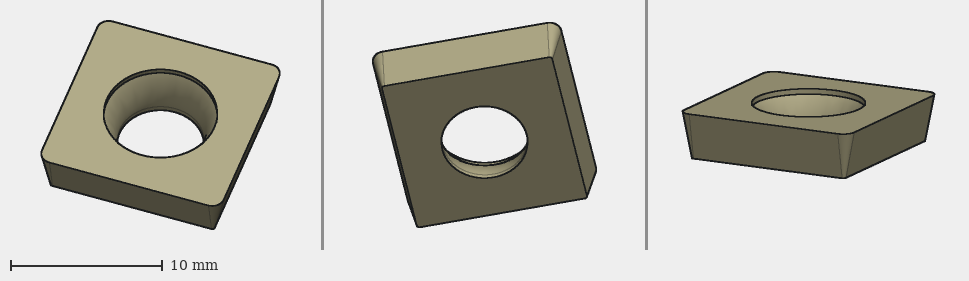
import cadquery as cq
import math

side = 12.7
thickness = 3.18
corner_radius = 0.8
relief_angle = 11.0

mouth_radius = 3.75
bore_radius = 2.85
land_depth = 0.37
seat_arc_radius = 3.62


def insert_body():
    """Rounded square tapering downwards from its top face."""
    square = cq.Sketch().rect(side, side).vertices().fillet(corner_radius)
    return (
        cq.Workplane("XY")
        .workplane(offset=thickness)
        .placeSketch(square)
        .extrude(-thickness, taper=relief_angle)
    )


def screw_hole():
    """Revolved cutter whose seat arc runs tangent into the bore."""
    arc_center_radius = bore_radius + seat_arc_radius
    start_angle = math.acos((arc_center_radius - mouth_radius) / seat_arc_radius)
    seat_top = thickness - land_depth
    seat_bottom = seat_top - seat_arc_radius * math.sin(start_angle)
    middle_angle = start_angle / 2
    arc_middle = (
        arc_center_radius - seat_arc_radius * math.cos(middle_angle),
        seat_bottom + seat_arc_radius * math.sin(middle_angle),
    )
    return (
        cq.Workplane("XZ")
        .lineTo(bore_radius, 0)
        .lineTo(bore_radius, seat_bottom)
        .threePointArc(arc_middle, (mouth_radius, seat_top))
        .lineTo(mouth_radius, thickness)
        .lineTo(0, thickness)
        .close()
        .revolve(360, (0, 0, 0), (0, 1, 0))
    )


result = insert_body().cut(screw_hole())